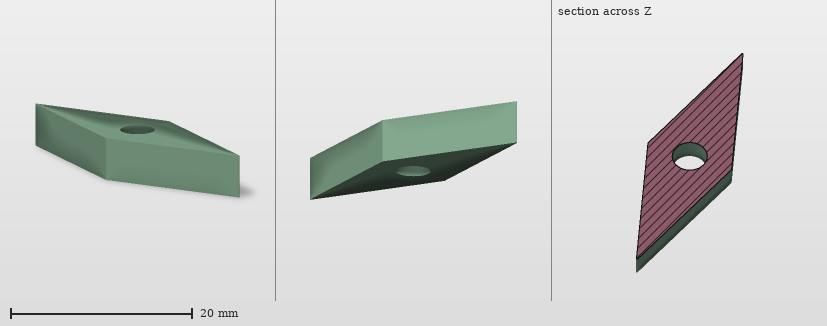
import cadquery as cq
import math

length = 29.77
width = 9.53
thickness = 4.75
hole_diameter = 3.8
nose_angle = math.radians(35.0)

side = width / math.sin(nose_angle)
sharp_length = side * (1 + math.cos(nose_angle))

nose_shortening = (sharp_length - length) / 2
corner_radius = nose_shortening / (1 / math.tan(nose_angle / 2) - 1)

half_length = sharp_length / 2
half_width = width / 2
corners = [
    (-half_length, -half_width),
    (side - half_length, -half_width),
    (half_length, half_width),
    (half_length - side, half_width),
]

body = cq.Workplane("XY").polyline(corners).close().extrude(thickness)
rounded_body = body.edges("|Z").fillet(corner_radius)

result = rounded_body.faces(">Z").workplane(origin=(0, 0, thickness)).hole(hole_diameter)